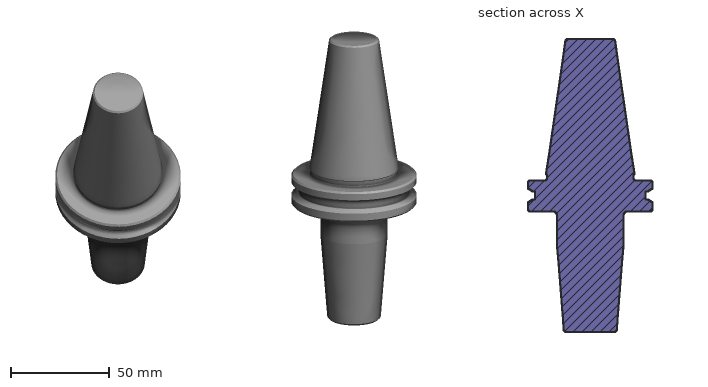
import cadquery as cq

gauge_radius = 22.5
taper_length = 68.4
taper_ratio = 7 / 24
taper_tip_radius = gauge_radius - taper_length * taper_ratio / 2
tip_chamfer = 0.7
relief_radius = 22.1
relief_corner = gauge_radius - relief_radius

flange_radius = 31.8
flange_top = -3.1
flange_thickness = 15.9
flange_bottom = flange_top - flange_thickness
flange_chamfer = 0.9
groove_floor_radius = 28.0
groove_top = -7.3
groove_bottom = -14.4
groove_flank_rise = 1.6
groove_ledge_radius = 29.2

overall_length = 148.4
nose_radius = 17.0
nose_end_radius = 13.5
nose_cone_start = -35.3
nose_bottom = taper_length - overall_length
root_fillet = 1.8
nose_chamfer = 1.0


def make_shank():
    """Solid taper with a shallow relief neck joining it to the flange."""
    taper = (
        cq.Workplane("XZ")
        .polyline([
            (0, flange_top),
            (gauge_radius, flange_top),
            (relief_radius, flange_top + relief_corner),
            (relief_radius, -relief_corner),
            (gauge_radius, 0),
            (taper_tip_radius, taper_length),
            (0, taper_length),
        ])
        .close()
        .revolve(360, (0, 0), (0, 1))
    )
    return taper.faces(">Z").edges().chamfer(tip_chamfer)


def make_flange():
    """Disc with chamfered rims and a gripper groove with sloped flanks and flat ledges."""
    disc = (
        cq.Workplane("XY", origin=(0, 0, flange_bottom))
        .circle(flange_radius)
        .extrude(flange_thickness)
        .edges("%CIRCLE")
        .chamfer(flange_chamfer)
    )
    groove = (
        cq.Workplane("XZ")
        .polyline([
            (flange_radius, groove_top),
            (groove_ledge_radius, groove_top - groove_flank_rise),
            (groove_floor_radius, groove_top - groove_flank_rise),
            (groove_floor_radius, groove_bottom + groove_flank_rise),
            (groove_ledge_radius, groove_bottom + groove_flank_rise),
            (flange_radius, groove_bottom),
        ])
        .close()
        .revolve(360, (0, 0), (0, 1))
    )
    return disc.cut(groove)


def make_nose():
    """Cylinder with a flared root, followed by a cone with a chamfered end."""
    arc_centre = (nose_radius + root_fillet, flange_bottom - root_fillet)
    arc_offset = root_fillet * 0.5 ** 0.5
    arc_middle = (arc_centre[0] - arc_offset, arc_centre[1] + arc_offset)
    body = (
        cq.Workplane("XZ")
        .moveTo(0, flange_bottom)
        .lineTo(nose_radius + root_fillet, flange_bottom)
        .threePointArc(arc_middle, (nose_radius, flange_bottom - root_fillet))
        .lineTo(nose_radius, nose_cone_start)
        .lineTo(nose_end_radius, nose_bottom)
        .lineTo(0, nose_bottom)
        .close()
        .revolve(360, (0, 0), (0, 1))
    )
    return body.faces("<Z").edges().chamfer(nose_chamfer)


result = make_shank().union(make_flange()).union(make_nose())